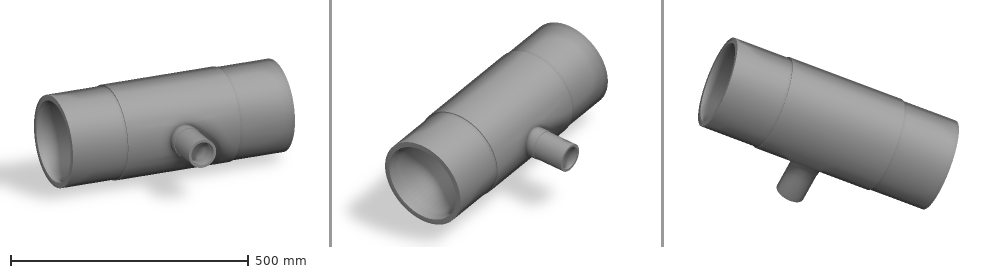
import cadquery as cq

RUN_LENGTH = 514.0
RUN_DIAMETER = 200.0
RUN_BORE = 176.2

BODY_DIAMETER = 204.76
SPIGOT_LENGTH = 127.0
BODY_LENGTH = RUN_LENGTH - 2 * SPIGOT_LENGTH

BRANCH_REACH = 195.0
BRANCH_DIAMETER = 63.0
BRANCH_BORE = 51.4
BRANCH_SPIGOT_LENGTH = 72.0
COLLAR_DIAMETER = 65.32
COLLAR_REACH = BRANCH_REACH - BRANCH_SPIGOT_LENGTH


def run_cylinder(diameter, length):
    """Cylinder along Y, centred on the origin."""
    return cq.Workplane("XZ").circle(diameter / 2).extrude(length / 2, both=True)


def branch_cylinder(diameter, reach):
    """Cylinder along +X, starting on the main axis."""
    return cq.Workplane("YZ").circle(diameter / 2).extrude(reach)


def outer_shape():
    """Solid tee: main pipe, thicker body, branch collar and branch spigot."""
    run = run_cylinder(RUN_DIAMETER, RUN_LENGTH)
    body = run_cylinder(BODY_DIAMETER, BODY_LENGTH)
    collar = branch_cylinder(COLLAR_DIAMETER, COLLAR_REACH)
    spigot = branch_cylinder(BRANCH_DIAMETER, BRANCH_REACH)
    return run.union(body).union(collar).union(spigot)


def bores():
    """Main bore with the branch bore opening into it."""
    run_bore = run_cylinder(RUN_BORE, RUN_LENGTH)
    branch_bore = branch_cylinder(BRANCH_BORE, BRANCH_REACH)
    return run_bore.union(branch_bore)


result = outer_shape().cut(bores())